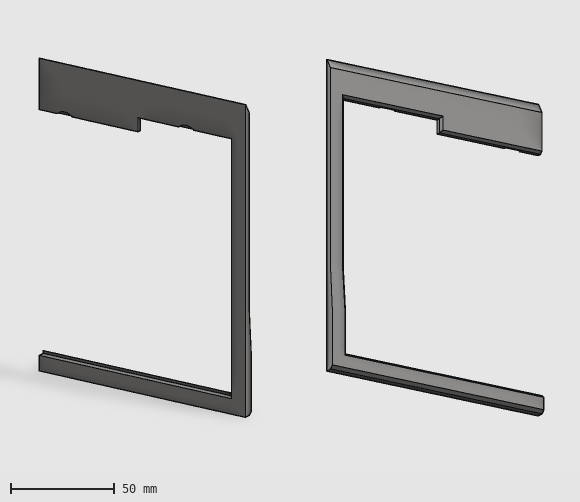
import cadquery as cq

width = 120.0
height = 159.5
arm_thickness = 3.5
foot_thickness = 5.3
leg_width = 8.1
leg_inner_x = width - leg_width

deep_arm_length = 57.5
deep_arm_bottom = 133.4
shallow_arm_bottom = 140.5
top_bevel_height = 5.1
top_edge_thickness = 0.5

lower_arm_height = 8.0
lip_height = 1.5
foot_chamfer = 1.6

ramp_bottom = 30.3
ramp_top = 54.2

opening_chamfer = 1.3
foot_opening_chamfer = 1.0

notch_width = 8.6
notch_height = 1.8
notch_depth = 1.1
notch_places = [(14.8, deep_arm_bottom), (85.7, shallow_arm_bottom)]


def side_profile():
    """Full-width frame section in the YZ plane, front face at Y = 0."""
    return (
        cq.Workplane("YZ")
        .moveTo(0, 0)
        .lineTo(foot_thickness - foot_chamfer, 0)
        .lineTo(foot_thickness, foot_chamfer)
        .lineTo(foot_thickness, ramp_bottom)
        .lineTo(arm_thickness, ramp_top)
        .lineTo(arm_thickness, height - top_bevel_height)
        .lineTo(top_edge_thickness, height)
        .lineTo(0, height)
        .close()
    )


def opening_outline(plane, growth=0.0):
    """Opening outline on a plane; growth widens it into the surrounding frame."""
    return (
        plane.moveTo(-growth, lower_arm_height)
        .lineTo(leg_inner_x + growth, lower_arm_height)
        .lineTo(leg_inner_x + growth, shallow_arm_bottom + growth)
        .lineTo(deep_arm_length - growth, shallow_arm_bottom + growth)
        .lineTo(deep_arm_length - growth, deep_arm_bottom + growth)
        .lineTo(-growth, deep_arm_bottom + growth)
        .close()
    )


def back_chamfer(z_low, z_high, back_high, size_high):
    """Bevel wedge on the inner back edge of the leg; its lower end is at the foot thickness."""
    def section(z, back, size):
        return cq.Wire.makePolygon(
            [
                cq.Vector(leg_inner_x, back - size, z),
                cq.Vector(leg_inner_x + size, back, z),
                cq.Vector(leg_inner_x, back, z),
            ],
            close=True,
        )

    low = section(z_low, foot_thickness, foot_opening_chamfer)
    high = section(z_high, back_high, size_high)
    return cq.Workplane(cq.Solid.makeLoft([low, high], True))


def upper_arm_chamfer():
    """Stepped opening above the ramp, widening toward the back face."""
    start = cq.Workplane("XZ", origin=(0, arm_thickness - opening_chamfer, 0))
    end = cq.Workplane("XZ", origin=(0, arm_thickness, 0))
    wires = [
        opening_outline(start).wires().val(),
        opening_outline(end, opening_chamfer).wires().val(),
    ]
    cutter = cq.Workplane(cq.Solid.makeLoft(wires, True))
    above_ramp = cq.Workplane("XY", origin=(0, 0, ramp_top)).rect(3 * width, height).extrude(height - ramp_top)
    return cutter.intersect(above_ramp)


def lower_lip():
    """Raised back strip of the lower arm, sloping down toward the back."""
    return (
        cq.Workplane("YZ")
        .moveTo(arm_thickness, lower_arm_height)
        .lineTo(arm_thickness, lower_arm_height + lip_height)
        .lineTo(foot_thickness, lower_arm_height)
        .close()
        .extrude(leg_inner_x + foot_opening_chamfer)
    )


def finger_notch(x, z):
    """Shallow arched recess rising from a lower edge of the upper arm."""
    return (
        cq.Workplane("XZ", origin=(x, 0, z))
        .moveTo(-notch_width / 2, 0)
        .threePointArc((0, notch_height), (notch_width / 2, 0))
        .close()
        .extrude(-notch_depth)
    )


result = side_profile().extrude(width)
result = result.cut(opening_outline(cq.Workplane("XZ")).extrude(-foot_thickness))
result = result.cut(upper_arm_chamfer())
result = result.cut(back_chamfer(ramp_bottom, ramp_top, arm_thickness, opening_chamfer))
result = result.cut(back_chamfer(lower_arm_height, ramp_bottom, foot_thickness, foot_opening_chamfer))
result = result.union(lower_lip())
for notch_x, notch_z in notch_places:
    result = result.cut(finger_notch(notch_x, notch_z))